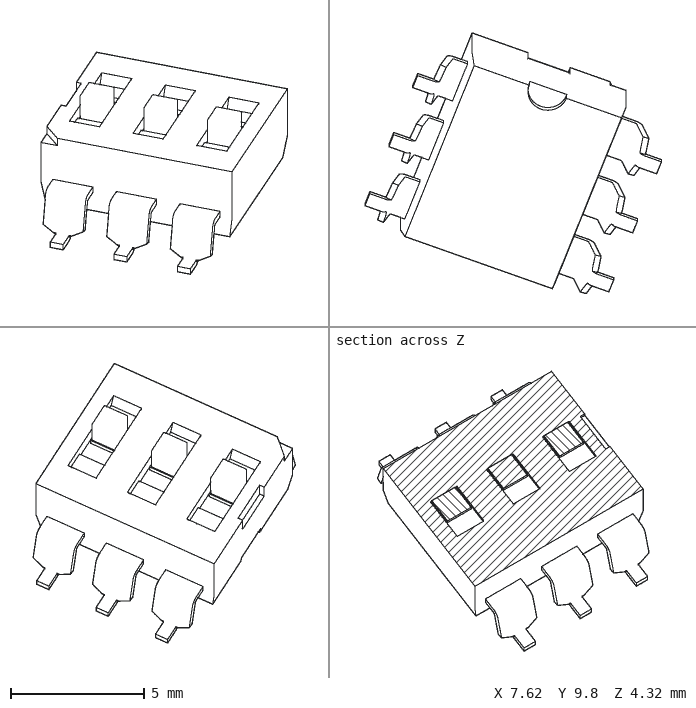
import cadquery as cq
import math

width = 7.62
span = 9.8
height = 4.32

pitch = 2.54
switch_xs = [-pitch, 0, pitch]

depth = 6.19
top_z = 3.7
seam_z = 1.62
bottom_z = 0.7
taper_inset = 0.14
corner_leg = 0.66
corner_depth = 0.32
side_notch_length = 1.7
side_notch_inset = 0.2
side_notch_depth = 0.6
bottom_notch_diameter = 1.49
bottom_notch_depth = 0.29

window_width = 1.2
window_length = 3.6
window_depth = 0.4
window_end_inset = 0.2
track_length = 1.8
track_depth = 0.2
ledge_z = top_z - window_depth
track_z = ledge_z - track_depth

knob_size = 1.02
knob_round = 0.05
flange_width = 1.08
flange_lip = 0.04

lead_width = 1.6
lead_thickness = 0.245
lead_lean = math.radians(13)
lead_z = 1.6
leg_inner_y = 3.68
shoulder_diameter = 0.6
heel_diameter = 0.57
foot_width = 0.52
neck_start = 0.49
neck_angle = math.radians(30)


def make_housing():
    """Box with a tapered skirt, less its notches and switch windows."""
    upper = cq.Workplane("XY").workplane(offset=seam_z).rect(width, depth).extrude(top_z - seam_z)
    skirt_height = seam_z - bottom_z
    skirt = (
        cq.Workplane("XY").workplane(offset=seam_z)
        .rect(width, depth)
        .workplane(offset=-skirt_height)
        .rect(width - 2 * taper_inset, depth - 2 * taper_inset)
        .loft(ruled=True)
    )
    housing = upper.union(skirt).cut(corner_step()).cut(side_notch()).cut(bottom_notch())
    for x in switch_xs:
        housing = housing.cut(window(x))
    return housing


def corner_step():
    """Triangular step in the top corner beside switch 1."""
    x, y = -width / 2, -depth / 2
    return (
        cq.Workplane("XY").workplane(offset=top_z)
        .polyline([(x, y), (x + corner_leg, y), (x, y + corner_leg)]).close()
        .extrude(-corner_depth)
    )


def side_notch():
    """Shallow rectangular notch at the top of the -X wall."""
    return (
        cq.Workplane("XY").workplane(offset=top_z)
        .center(-width / 2, 0)
        .rect(2 * side_notch_inset, side_notch_length)
        .extrude(-side_notch_depth)
    )


def bottom_notch():
    """Round notch in the underside, centred on the -X wall."""
    return (
        cq.Workplane("XY").workplane(offset=bottom_z)
        .center(-width / 2 + taper_inset, 0)
        .circle(bottom_notch_diameter / 2)
        .extrude(bottom_notch_depth)
    )


def window(x):
    """Slope-ended window with a deeper track in its floor."""
    top_y = window_length / 2
    floor_y = top_y - window_end_inset
    track_y = track_length / 2
    return (
        cq.Workplane("YZ").workplane(offset=x - window_width / 2)
        .polyline([
            (-top_y, top_z), (-floor_y, ledge_z), (-track_y, ledge_z), (-track_y, track_z),
            (track_y, track_z), (track_y, ledge_z), (floor_y, ledge_z), (top_y, top_z),
        ]).close()
        .extrude(window_width)
    )


def make_slider(x):
    """Square knob on a flange, pushed to the -Y end of the track."""
    back_y = -track_length / 2
    knob = (
        cq.Workplane("XY").workplane(offset=track_z)
        .center(x, back_y + knob_size / 2)
        .rect(knob_size, knob_size)
        .extrude(height - track_z)
        .edges("|Z or >Z").fillet(knob_round)
    )
    flange_length = knob_size + flange_lip
    flange = (
        cq.Workplane("XY").workplane(offset=track_z)
        .center(x, back_y + flange_length / 2)
        .rect(flange_width, flange_length)
        .extrude(track_depth)
    )
    return knob.union(flange)


def make_lead():
    """Gull-wing lead at X = 0 on the +Y side, standing on Z = 0."""
    slope = math.tan(lead_lean)
    leg_gap = lead_thickness / math.cos(lead_lean)
    shoulder_z = lead_z + lead_thickness

    def inner_y(z):
        return leg_inner_y + (lead_z - z) * slope

    def outer_y(z):
        return inner_y(z) + leg_gap

    wall_y = depth / 2
    shoulder_top = (outer_y(shoulder_z), shoulder_z)
    shoulder_under = (leg_inner_y, lead_z)
    heel_under = (inner_y(0), 0)
    heel_top = (outer_y(lead_thickness), lead_thickness)
    strip = (
        cq.Workplane("YZ").workplane(offset=-lead_width / 2)
        .polyline([
            (wall_y, shoulder_z), shoulder_top, heel_top, (span / 2, lead_thickness),
            (span / 2, 0), heel_under, shoulder_under, (wall_y, lead_z),
        ]).close()
        .extrude(lead_width)
    )
    shoulder_radius = shoulder_diameter / 2
    heel_radius = heel_diameter / 2
    bends = [
        (shoulder_top, shoulder_radius),
        (shoulder_under, shoulder_radius - lead_thickness),
        (heel_under, heel_radius),
        (heel_top, heel_radius - lead_thickness),
    ]
    for corner, radius in bends:
        strip = strip.edges(cq.NearestToPointSelector((0, *corner))).fillet(radius)

    face = cq.Plane(
        origin=(0, outer_y(neck_start), neck_start),
        xDir=(1, 0, 0),
        normal=(0, math.cos(lead_lean), math.sin(lead_lean)),
    )
    half_lead = lead_width / 2
    half_foot = foot_width / 2
    neck_drop = (half_lead - half_foot) * math.tan(neck_angle)
    for side in (-1, 1):
        neck_cut = (
            cq.Workplane(face)
            .polyline([
                (side * half_lead, 0), (side * half_foot, neck_drop),
                (side * half_foot, span / 2), (side * half_lead, span / 2),
            ]).close()
            .extrude(span / 2, both=True)
        )
        foot_side = (
            cq.Workplane("XY")
            .center(side * (half_lead + half_foot) / 2, (heel_top[0] + span / 2) / 2)
            .rect(half_lead - half_foot, span / 2 - heel_top[0])
            .extrude(2 * lead_thickness)
        )
        strip = strip.cut(neck_cut).cut(foot_side)
    return strip


housing = make_housing()
sliders = [make_slider(x) for x in switch_xs]
lead = make_lead()
back_leads = [lead.translate((x, 0, 0)) for x in switch_xs]
front_leads = [each.mirror("XZ") for each in back_leads]

result = cq.Compound.makeCompound([
    housing.val(),
    *[slider.val() for slider in sliders],
    *[each.val() for each in back_leads + front_leads],
])